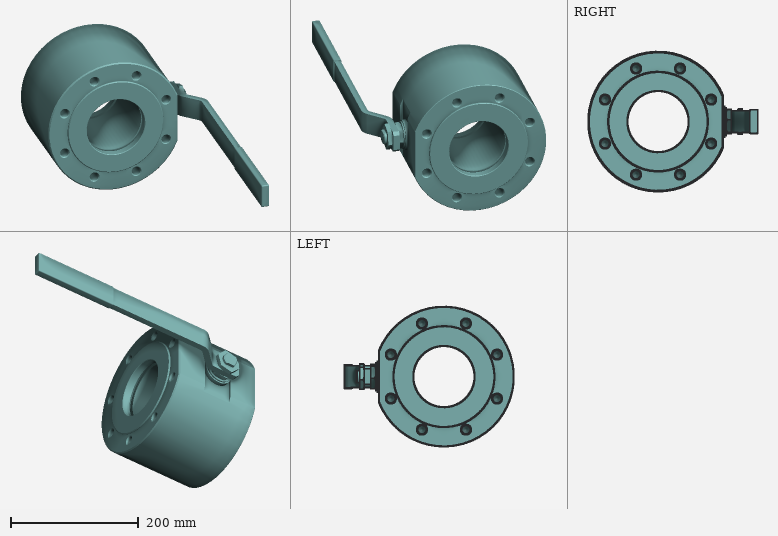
import cadquery as cq
import math


overall_depth = 266.5

body_diameter = 220.0
body_radius = body_diameter / 2
body_start = 3.0
body_end = 149.5
left_rim_chamfer = 1.0
right_rim_chamfer = 2.0
stem_flat_y = 102.5

left_face_radius = 79.5
right_face_radius = 78.5
right_face_end = 152.0
right_face_chamfer = 1.5
left_face_chamfer = 1.0

bore_radius = 47.5
bore_chamfer = 1.0
groove_offset = 13.0
groove_width = 6.0
groove_depth = 6.5

bolt_count = 8
bolt_circle_radius = 90.0
bolt_hole_radius = 7.0
bolt_countersink = 1.5
bolt_hole_depth = 27.5
drill_tip_angle = 118

lever_start = 51.2
lever_width = 34.8
lever_thickness = 10.0
lever_rise = 30.0
lever_corner_chamfer = 5.0
ramp_angle = 45
bend_middle_x = 119
bend_inner_radius = 10.0
grip_start = 314.8
grip_end = 457.5
grip_width = 37.5
grip_thickness = 13.0
grip_fillet = 2.0
grip_wall = (grip_thickness - lever_thickness) / 2
grip_top_y = overall_depth - body_radius
lever_y = grip_top_y - grip_wall - lever_thickness - lever_rise

stem_x = 75.5
collar_y = 98.0
washer_y = 104.8
lower_nut_y = 107.0
upper_nut_y = lever_y + lever_thickness
upper_nut_top_y = 132.0
stem_top_y = 137.2

collar_radius = 24.2
washer_radius = 22.0
nut_corner_diameter = 41.5
nut_corner_bevel = 2.0
nut_bevel_height = 1.5
lower_nut_angle = 7
upper_nut_angle = 14
stem_radius = 12.0
stem_flats_width = 18.8
stem_chamfer = 1.5


def disc_along_x(start, end, radius):
    return cq.Workplane("YZ").workplane(offset=start).circle(radius).extrude(end - start)


def plane_at_y(y):
    """XZ plane at height y on the stem axis, extruding toward +Y."""
    stem_point = (stem_x, y, 0)
    return cq.Workplane(cq.Plane(origin=stem_point, xDir=(1, 0, 0), normal=(0, 1, 0)))


def disc_along_y(start, end, radius):
    return plane_at_y(start).circle(radius).extrude(end - start)


def make_hex_nut(start, end, angle):
    nut = plane_at_y(start).polygon(6, nut_corner_diameter).extrude(end - start)
    turned = disc_along_y(start, end, nut_corner_diameter / 2)
    turned = turned.faces("<Y").chamfer(nut_bevel_height, nut_corner_bevel)
    nut = nut.intersect(turned)
    return nut.rotate((stem_x, 0, 0), (stem_x, 1, 0), -angle)


def make_body():
    body = disc_along_x(body_start, body_end, body_radius)
    span = 3 * body_radius
    above_flat = cq.Workplane("XY").box(span, body_radius, span).translate(
        (stem_x, stem_flat_y + body_radius / 2, 0)
    )
    channel = cq.Workplane("XY").box(2 * collar_radius, body_radius, span).translate(
        (stem_x, collar_y + body_radius / 2, 0)
    )
    body = body.cut(above_flat)
    body = body.faces("<X").chamfer(left_rim_chamfer).faces(">X").chamfer(right_rim_chamfer)
    body = body.cut(channel)
    left_face = disc_along_x(0, body_start, left_face_radius)
    left_face = left_face.faces("<X").chamfer(left_face_chamfer)
    right_face = disc_along_x(body_end, right_face_end, right_face_radius)
    right_face = right_face.faces(">X").chamfer(right_face_chamfer)
    return body.union(left_face).union(right_face)


def make_bore():
    bore = disc_along_x(0, right_face_end, bore_radius)
    mouth_radius = bore_radius + bore_chamfer
    for face_x, inward in ((0, 1), (right_face_end, -1)):
        mouth = (
            cq.Workplane("XY")
            .polyline([(face_x, 0), (face_x, mouth_radius), (face_x + inward * mouth_radius, 0)])
            .close()
            .revolve(360, (0, 0, 0), (1, 0, 0))
        )
        near_wall = face_x + inward * groove_offset
        far_wall = near_wall + inward * groove_width
        groove = disc_along_x(near_wall, far_wall, bore_radius + groove_depth)
        bore = bore.union(mouth).union(groove)
    return bore


def make_bolt_holes(face_x, direction):
    """Ring of blind holes drilled from face_x; direction is +1 or -1 along X."""
    tip_length = bolt_hole_radius / math.tan(math.radians(drill_tip_angle / 2))
    shoulder_x = face_x + direction * bolt_hole_depth
    tip_x = shoulder_x + direction * tip_length
    outline = [
        (face_x, 0),
        (face_x, bolt_hole_radius + bolt_countersink),
        (face_x + direction * bolt_countersink, bolt_hole_radius),
        (shoulder_x, bolt_hole_radius),
        (tip_x, 0),
    ]
    hole = (
        cq.Workplane("XY")
        .polyline(outline)
        .close()
        .revolve(360, (0, 0, 0), (1, 0, 0))
        .translate((0, bolt_circle_radius, 0))
    )
    pitch = 360 / bolt_count
    holes = cq.Workplane("XY")
    for index in range(bolt_count):
        holes = holes.add(hole.rotate((0, 0, 0), (1, 0, 0), (index + 0.5) * pitch))
    return holes.combine()


def make_stem_stack():
    stem = disc_along_y(collar_y, stem_top_y, stem_radius).faces(">Y").chamfer(stem_chamfer)
    flats = cq.Workplane("XY").box(2 * right_face_end, 3 * body_radius, stem_flats_width)
    stem = stem.intersect(flats)
    return (
        stem.union(disc_along_y(collar_y, washer_y, collar_radius))
        .union(disc_along_y(washer_y, lower_nut_y, washer_radius))
        .union(make_hex_nut(lower_nut_y, lever_y, lower_nut_angle))
        .union(make_hex_nut(upper_nut_y, upper_nut_top_y, upper_nut_angle))
    )


def make_lever():
    outer_shift = lever_thickness * math.tan(math.radians(ramp_angle / 2))
    ramp_run = lever_rise / math.tan(math.radians(ramp_angle))
    low_x = bend_middle_x - ramp_run / 2 + outer_shift / 2
    high_x = low_x + ramp_run
    low_top = upper_nut_y
    high_bottom = lever_y + lever_rise
    high_top = high_bottom + lever_thickness
    strip_end = grip_end - grip_wall
    outline = [
        (lever_start, lever_y),
        (low_x, lever_y),
        (high_x, high_bottom),
        (strip_end, high_bottom),
        (strip_end, high_top),
        (high_x - outer_shift, high_top),
        (low_x - outer_shift, low_top),
        (lever_start, low_top),
    ]
    lever = cq.Workplane("XY").polyline(outline).close().extrude(lever_width / 2, both=True)
    lever = lever.edges("|Y and <X").chamfer(lever_corner_chamfer)

    bend_outer_radius = bend_inner_radius + lever_thickness
    bends = (
        (low_x, lever_y, bend_outer_radius),
        (high_x, high_bottom, bend_inner_radius),
        (high_x - outer_shift, high_top, bend_outer_radius),
        (low_x - outer_shift, low_top, bend_inner_radius),
    )
    for x, y, radius in bends:
        bend_edge = cq.selectors.NearestToPointSelector((x, y, 0))
        lever = lever.edges(bend_edge).fillet(radius)

    grip_length = grip_end - grip_start
    grip_middle_y = grip_top_y - grip_thickness / 2
    grip = (
        cq.Workplane("XY")
        .box(grip_length, grip_thickness, grip_width)
        .edges("|X or >X")
        .fillet(grip_fillet)
        .translate((grip_start + grip_length / 2, grip_middle_y, 0))
    )
    return lever.union(grip)


result = (
    make_body()
    .cut(make_bore())
    .cut(make_bolt_holes(body_start, 1))
    .cut(make_bolt_holes(body_end, -1))
    .union(make_stem_stack())
    .union(make_lever())
)